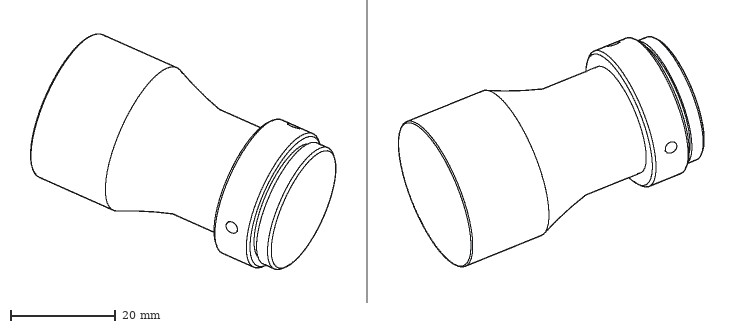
import cadquery as cq
import math

total_length = 52.2
head_length = 16.85
taper_end = 28.05
collar_start = 40.2
collar_end = 48.25
lip_start = 49.2

head_radius = 30.0 / 2
shaft_radius = 11.0
collar_radius = 14.05
groove_radius = 12.0
lip_radius = 12.75

head_chamfer = 0.25
edge_chamfer = 0.5
taper_sag = 0.25

hole_diameter = 2.5
hole_count = 3
first_hole_angle = 45.8
hole_tip_angle = 90.0
hole_x = (collar_start + collar_end) / 2
hole_floor_radius = shaft_radius


def turned_body():
    taper_middle = (
        (head_length + taper_end) / 2,
        (head_radius + shaft_radius) / 2 - taper_sag,
    )
    return (
        cq.Workplane("XY")
        .moveTo(0, 0)
        .lineTo(0, head_radius - head_chamfer)
        .lineTo(head_chamfer, head_radius)
        .lineTo(head_length, head_radius)
        .threePointArc(taper_middle, (taper_end, shaft_radius))
        .lineTo(collar_start, shaft_radius)
        .lineTo(collar_start, collar_radius - edge_chamfer)
        .lineTo(collar_start + edge_chamfer, collar_radius)
        .lineTo(collar_end - edge_chamfer, collar_radius)
        .lineTo(collar_end, collar_radius - edge_chamfer)
        .lineTo(collar_end, groove_radius)
        .lineTo(lip_start, groove_radius)
        .lineTo(lip_start, lip_radius)
        .lineTo(total_length - edge_chamfer, lip_radius)
        .lineTo(total_length, lip_radius - edge_chamfer)
        .lineTo(total_length, 0)
        .close()
        .revolve(360, (0, 0, 0), (1, 0, 0))
    )


def screw_hole(angle):
    """Cutter for a cone-bottomed radial hole, turned about the X axis from +Y."""
    hole_radius = hole_diameter / 2
    tip_depth = hole_radius / math.tan(math.radians(hole_tip_angle / 2))
    return (
        cq.Workplane("XY")
        .moveTo(hole_x, hole_floor_radius - tip_depth)
        .lineTo(hole_x + hole_radius, hole_floor_radius)
        .lineTo(hole_x + hole_radius, head_radius)
        .lineTo(hole_x, head_radius)
        .close()
        .revolve(360, (hole_x, 0, 0), (hole_x, 1, 0))
        .rotate((0, 0, 0), (1, 0, 0), angle)
    )


result = turned_body()
for index in range(hole_count):
    result = result.cut(screw_hole(first_hole_angle + index * 360 / hole_count))